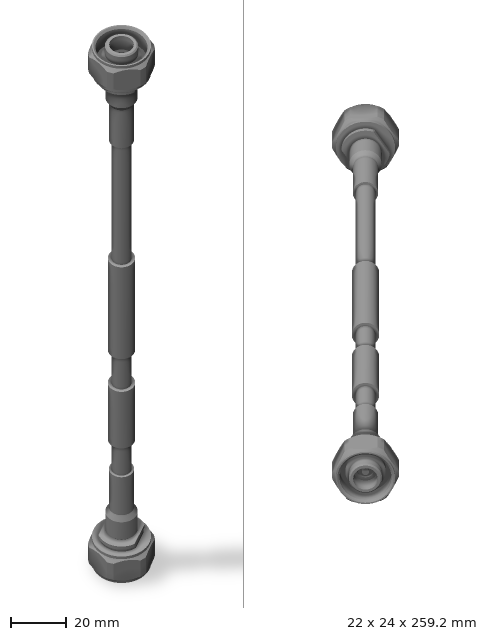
import cadquery as cq

overall_length = 259.2

nut_across_flats = 22.0
nut_corner_radius = 24.0 / 2
nut_front_depth = 0.5
nut_back_depth = 13.7
collar_radius = 10.5
collar_length = 1.3
nut_chamfer_height = 1.3
nut_bore_radius = 9.3
nut_mouth_radius = 10.0
nut_mouth_chamfer = 0.8
nut_bore_depth = 7.8

tip_radius = 5.5
tip_chamfer = 0.5
shoulder_radius = 7.3
shoulder_depth = 4.5
shoulder_taper_height = 1.0
tube_bore_radius = 4.5
tube_bore_depth = 6.7
socket_radius = 3.0
socket_depth = 7.8
pin_radius = 1.3
pin_front_depth = 5.2

hub_radius = 8.0
flange_radius = 17.4 / 2
flange_front_depth = 15.3
flange_back_depth = 16.8
wrench_flat_width = 13.7

neck_radius = 5.2
ferrule_radius = 11.7 / 2
ferrule_front_depth = 17.5
ferrule_taper_depth = 26.2
ferrule_back_depth = 28.5

cable_radius = 3.5
boot_radius = 9.0 / 2
boot_length = 19.0
marker_radius = 5.0
marker_spans = [(62.2, 90.5), (106.8, 152.7)]


def disc(radius, start, end):
    """Cylinder on the Z axis between two heights."""
    return cq.Workplane("XY").workplane(offset=start).circle(radius).extrude(end - start)


def sleeve(radius, start, end):
    """Tube that fits around the cable."""
    return disc(radius, start, end).cut(disc(cable_radius, start, end))


def revolved(points):
    """Solid of revolution about Z from (radius, height) points."""
    return cq.Workplane("XZ").polyline(points).close().revolve(360, (0, 0, 0), (0, 1, 0))


def make_nut():
    """Hexagonal nut with flats facing +-X, a round collar at each end and an open front bore."""
    front_collar_end = nut_front_depth + collar_length
    back_collar_start = nut_back_depth - collar_length
    turned_blank = revolved([
        (0, nut_front_depth),
        (collar_radius, nut_front_depth),
        (collar_radius, front_collar_end),
        (nut_corner_radius, front_collar_end + nut_chamfer_height),
        (nut_corner_radius, back_collar_start - nut_chamfer_height),
        (collar_radius, back_collar_start),
        (collar_radius, nut_back_depth),
        (0, nut_back_depth),
    ])
    hexagon = (
        cq.Workplane("XY")
        .polygon(6, nut_across_flats, circumscribed=True)
        .extrude(nut_back_depth)
    )
    bore = revolved([
        (0, nut_front_depth),
        (nut_mouth_radius, nut_front_depth),
        (nut_bore_radius, nut_front_depth + nut_mouth_chamfer),
        (nut_bore_radius, nut_bore_depth),
        (0, nut_bore_depth),
    ])
    return turned_blank.intersect(hexagon).cut(bore)


def make_contact_tube():
    """Contact tube with a chamfered tip, a tapered shoulder and a stepped bore around the centre pin."""
    tube_radius = tip_radius + tip_chamfer
    tube = revolved([
        (0, 0),
        (tip_radius, 0),
        (tube_radius, tip_chamfer),
        (tube_radius, shoulder_depth),
        (shoulder_radius, shoulder_depth + shoulder_taper_height),
        (shoulder_radius, nut_bore_depth),
        (0, nut_bore_depth),
    ])
    bore = disc(tube_bore_radius, 0, tube_bore_depth)
    socket = disc(socket_radius, tube_bore_depth, socket_depth)
    pin = disc(pin_radius, pin_front_depth, socket_depth)
    return tube.cut(bore).cut(socket).union(pin)


def make_wrench_hub():
    """Hub and flange with a pair of wrench flats facing +-X."""
    hub = disc(hub_radius, nut_back_depth, flange_front_depth)
    flange = disc(flange_radius, flange_front_depth, flange_back_depth)
    flats = (
        cq.Workplane("XY")
        .rect(wrench_flat_width, 2 * flange_radius)
        .extrude(flange_back_depth)
    )
    return hub.union(flange).intersect(flats)


def make_ferrule():
    """Crimp ferrule behind a short neck, tapering down to the boot."""
    return revolved([
        (0, flange_back_depth),
        (neck_radius, flange_back_depth),
        (neck_radius, ferrule_front_depth),
        (ferrule_radius, ferrule_front_depth),
        (ferrule_radius, ferrule_taper_depth),
        (boot_radius, ferrule_back_depth),
        (0, ferrule_back_depth),
    ])


def make_connector():
    """Complete connector with its front face at Z = 0, facing -Z."""
    return make_nut().union(make_contact_tube()).union(make_wrench_hub()).union(make_ferrule())


def at_both_ends(body):
    """The lower body and its mirror image at the upper end."""
    mirrored = body.mirror("XY", (0, 0, overall_length / 2))
    return [body.val(), mirrored.val()]


connectors = at_both_ends(make_connector())
boots = at_both_ends(sleeve(boot_radius, ferrule_back_depth, ferrule_back_depth + boot_length))
cable = disc(cable_radius, ferrule_back_depth, overall_length - ferrule_back_depth)
markers = [sleeve(marker_radius, start, end).val() for start, end in marker_spans]

result = cq.Compound.makeCompound([cable.val(), *connectors, *boots, *markers])